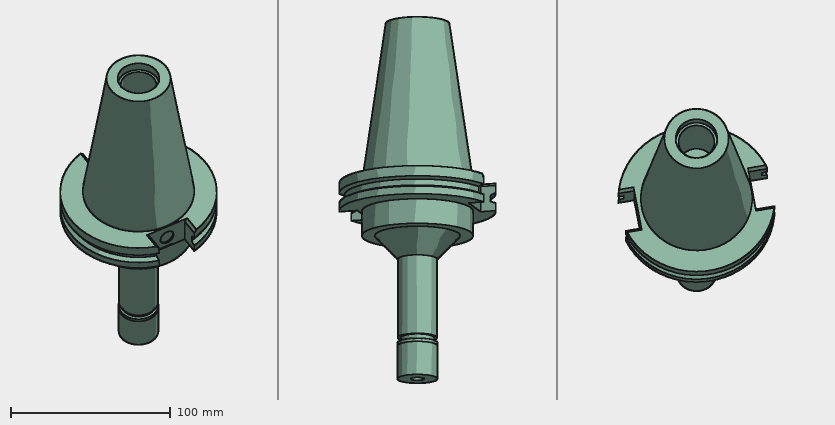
import cadquery as cq

TOTAL_HEIGHT = 228.5
NUT_HEIGHT = 21.3
RING_TOP = 23.3
NECK_BOTTOM = 26.5
CONE_BOTTOM = 77.0
COLLAR_BOTTOM = 92.1
FLANGE_BOTTOM = 108.0
FLANGE_TOP = 126.0
TAPER_BOTTOM = 127.0

TAPER_TOP_RADIUS = 20.1
COLLAR_RADIUS = 35.0
FLANGE_RADIUS = 49.1
CONE_TOP_RADIUS = 26.7
NECK_RADIUS = 12.3
UNDERCUT_RADIUS = 10.5
NUT_RADIUS = 12.5

GROOVE_RADIUS = 46.0
GROOVE_CENTRE = 116.1
GROOVE_FLOOR_WIDTH = 4.0
GROOVE_MOUTH_WIDTH = 6.6

SLOT_WIDTH = 25.5
SLOT_CHAMFER = 1.8
SLOT_FLOORS = {-1: 37.5, 1: 35.5}
DIMPLE_DIAMETER = 9.5
DIMPLE_DEPTH = 1.0
DIMPLE_HEIGHT = FLANGE_TOP - 9.5

COUNTERBORE_RADIUS = 13.0
COUNTERBORE_DEPTH = 6.0
STUD_BORE_RADIUS = 11.2
STUD_BORE_DEPTH = 45.7
THROUGH_RADIUS = 5.0
NUT_BORE_RADIUS = 4.1


def cylinder(radius, bottom, top):
    """Solid cylinder on the tool axis."""
    return cq.Workplane("XY").workplane(offset=bottom).circle(radius).extrude(top - bottom)


def turned_holder():
    """Revolved outer shape of the holder, from its end ring to the taper's small end."""
    half_floor = GROOVE_FLOOR_WIDTH / 2
    half_mouth = GROOVE_MOUTH_WIDTH / 2
    outline = [
        (0, NUT_HEIGHT),
        (NUT_RADIUS, NUT_HEIGHT),
        (NUT_RADIUS, RING_TOP),
        (UNDERCUT_RADIUS, RING_TOP),
        (UNDERCUT_RADIUS, NECK_BOTTOM),
        (NECK_RADIUS, NECK_BOTTOM),
        (NECK_RADIUS, CONE_BOTTOM),
        (CONE_TOP_RADIUS, COLLAR_BOTTOM),
        (COLLAR_RADIUS, COLLAR_BOTTOM),
        (COLLAR_RADIUS, FLANGE_BOTTOM),
        (FLANGE_RADIUS, FLANGE_BOTTOM),
        (FLANGE_RADIUS, GROOVE_CENTRE - half_mouth),
        (GROOVE_RADIUS, GROOVE_CENTRE - half_floor),
        (GROOVE_RADIUS, GROOVE_CENTRE + half_floor),
        (FLANGE_RADIUS, GROOVE_CENTRE + half_mouth),
        (FLANGE_RADIUS, FLANGE_TOP),
        (COLLAR_RADIUS, FLANGE_TOP),
        (COLLAR_RADIUS, TAPER_BOTTOM),
        (TAPER_TOP_RADIUS, TOTAL_HEIGHT),
        (0, TOTAL_HEIGHT),
    ]
    return cq.Workplane("XZ").polyline(outline).close().revolve(360, (0, 0, 0), (0, 1, 0))


def drive_slot(side, floor):
    """Cutter for one drive slot, flared at the flange's upper face, with its round dimple."""
    half_width = SLOT_WIDTH / 2
    half_flare = half_width + SLOT_CHAMFER
    outline = [
        (-half_width, FLANGE_BOTTOM),
        (half_width, FLANGE_BOTTOM),
        (half_width, FLANGE_TOP - SLOT_CHAMFER),
        (half_flare, FLANGE_TOP),
        (-half_flare, FLANGE_TOP),
        (-half_width, FLANGE_TOP - SLOT_CHAMFER),
    ]
    floor_plane = cq.Workplane("YZ").workplane(offset=side * floor)
    slot = floor_plane.polyline(outline).close().extrude(side * FLANGE_RADIUS)
    dimple = floor_plane.center(0, DIMPLE_HEIGHT).circle(DIMPLE_DIAMETER / 2).extrude(-side * DIMPLE_DEPTH)
    return slot.union(dimple)


def make_holder():
    """Taper-shank holder with drive slots and a stepped axial bore."""
    holder = turned_holder()
    for side, floor in SLOT_FLOORS.items():
        holder = holder.cut(drive_slot(side, floor))
    holder = holder.cut(cylinder(COUNTERBORE_RADIUS, TOTAL_HEIGHT - COUNTERBORE_DEPTH, TOTAL_HEIGHT))
    holder = holder.cut(cylinder(STUD_BORE_RADIUS, TOTAL_HEIGHT - STUD_BORE_DEPTH, TOTAL_HEIGHT))
    return holder.cut(cylinder(THROUGH_RADIUS, NUT_HEIGHT, TOTAL_HEIGHT))


def make_nut():
    """Clamping nut flush with the holder's end ring, bored through."""
    nut = cylinder(NUT_RADIUS, 0, NUT_HEIGHT)
    return nut.cut(cylinder(NUT_BORE_RADIUS, 0, NUT_HEIGHT))


holder = make_holder()
nut = make_nut()
result = cq.Compound.makeCompound([holder.val(), nut.val()])